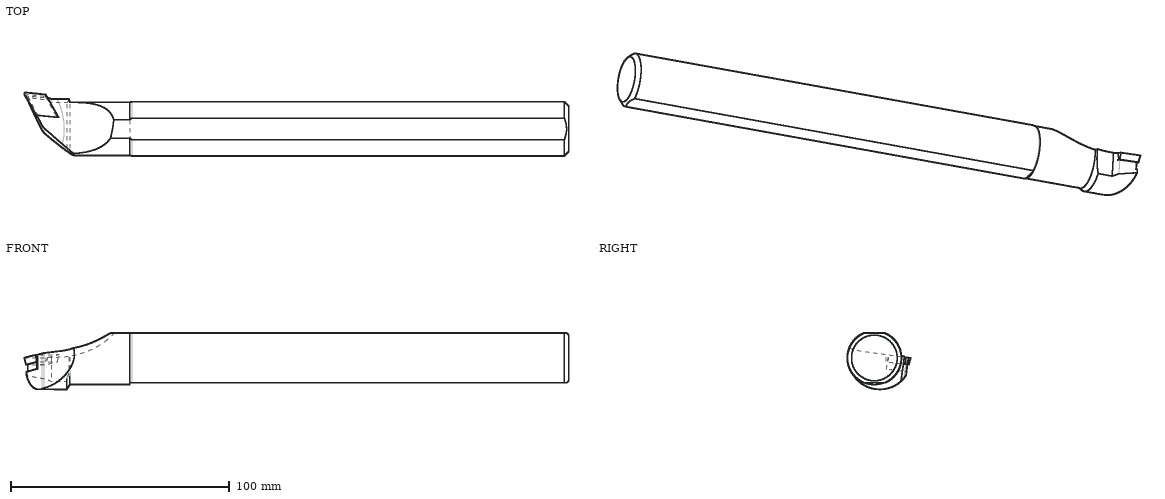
import cadquery as cq
import math

length = 249.5
nose_reach = 16.7

shank_radius = 12.5
flat_height = 11.5
end_chamfer = 2.0
shank_start = 48.5
lead_in_length = 0.7

neck_radius = 12.2
neck_start = 21.0

head_radius = 14.5
head_offset = 2.5
head_end = 19.5

lean_angle = 8.0

lead_face_tip = (1.0, 15.7)
lead_face_end = (8.0, 1.7)
relief_face_start = (9.0, 0.2)
relief_face_slope = 0.88
seat_side_end = (9.7, 14.7)
head_side_start = (12.5, 13.7)

scoop_start = 18.2
scoop_profile_radius = 32.0
scoop_plan_radius = 30.0
scoop_center_y = 0.0

nose_radius = 0.7
insert_length = 10.5
insert_width = 10.0
insert_thickness = 3.2
side_edge_angle = 6.0
lead_edge_angle = 61.0
insert_clearance = 7.0

seat_step_height = 6.5
seat_step_depth = 0.5

clear = 74.8


def lean(body):
    """Tilt a body, drawn with the head's top face at z = 0, into place."""
    return body.rotate((0, nose_reach, 0), (1, nose_reach, 0), -lean_angle)


def cylinder_along_x(radius, start, end, center_y=0.0):
    return cq.Workplane("YZ", origin=(start, center_y, 0)).circle(radius).extrude(end - start)


def make_shank():
    shank = (
        cq.Workplane("XY")
        .polyline([
            (shank_start, 0),
            (shank_start, neck_radius),
            (shank_start + lead_in_length, shank_radius),
            (length - end_chamfer, shank_radius),
            (length, shank_radius - end_chamfer),
            (length, 0),
        ])
        .close()
        .revolve(360, (0, 0, 0), (1, 0, 0))
    )
    between_flats = cq.Workplane("XY").box(2 * length, clear, 2 * flat_height)
    return shank.intersect(between_flats)


def make_neck():
    neck = cylinder_along_x(neck_radius, neck_start, shank_start)
    below_flat = cq.Workplane("XY", origin=(0, 0, flat_height)).rect(2 * length, clear).extrude(-clear)
    return neck.intersect(below_flat)


def make_head():
    head = cylinder_along_x(head_radius, 0, head_end, head_offset)
    shoulder = (
        cq.Workplane("YZ", origin=(head_end, head_offset, 0))
        .circle(head_radius)
        .workplane(offset=neck_start - head_end)
        .center(-head_offset, 0)
        .circle(neck_radius)
        .loft(ruled=True)
    )
    return head.union(shoulder)


def make_head_outline():
    """Prism whose walls are the lead face, the relief face and the side of the head."""
    start_x, start_y = relief_face_start
    relief_face_end = (start_x + clear, start_y - clear * relief_face_slope)
    prism = (
        cq.Workplane("XY", origin=(0, 0, -clear))
        .polyline([
            lead_face_tip,
            lead_face_end,
            relief_face_start,
            relief_face_end,
            (relief_face_end[0], head_side_start[1]),
            head_side_start,
            seat_side_end,
        ])
        .close()
        .extrude(2 * clear)
    )
    return lean(prism)


def make_scoop():
    """Cutter with a flat floor and a flaring rim tangent to it, turned about the head's top face normal."""
    axis_x = scoop_start - scoop_plan_radius
    arc_point = math.sqrt(0.5) * scoop_profile_radius
    rim_radius = scoop_plan_radius + scoop_profile_radius
    cutter = (
        cq.Workplane("XZ", origin=(axis_x, scoop_center_y, 0))
        .lineTo(scoop_plan_radius, 0)
        .threePointArc(
            (scoop_plan_radius + arc_point, scoop_profile_radius - arc_point),
            (rim_radius, scoop_profile_radius),
        )
        .lineTo(0, scoop_profile_radius)
        .close()
        .revolve(360, (0, 0, 0), (0, 1, 0))
    )
    return lean(cutter)


def direction(angle):
    return cq.Vector(math.cos(math.radians(angle)), math.sin(math.radians(angle)), 0)


side_direction = direction(-side_edge_angle)
lead_direction = direction(-lead_edge_angle)
lead_length = insert_width / math.sin(math.radians(lead_edge_angle - side_edge_angle))


def insert_tip():
    """Sharp corner of the insert, placed so that the rounded nose reaches x = 0 and y = nose_reach."""
    nose_center = cq.Vector(nose_radius, nose_reach - nose_radius, 0)
    half_angle = math.radians(lead_edge_angle - side_edge_angle) / 2
    inward = direction(-(lead_edge_angle + side_edge_angle) / 2)
    return nose_center - inward * (nose_radius / math.sin(half_angle))


def make_insert():
    tip = insert_tip()
    side_end = tip + side_direction * insert_length
    lead_end = tip + lead_direction * lead_length
    far_corner = side_end + lead_direction * lead_length
    insert = (
        cq.Workplane("XY")
        .polyline([(p.x, p.y) for p in (tip, lead_end, far_corner, side_end)])
        .close()
        .extrude(-insert_thickness, taper=insert_clearance)
        .edges(cq.selectors.NearestToPointSelector((tip.x, tip.y, -insert_thickness / 2)))
        .fillet(nose_radius)
    )
    return lean(insert)


def make_seat_step():
    """Cutter that sets the lead face back beside and under the insert, as far as its inner end."""
    tip_x, tip_y = lead_face_tip
    end_y = (insert_tip() + lead_direction * lead_length).y
    run = (lead_face_end[0] - tip_x) / (tip_y - lead_face_end[1])
    end_x = tip_x + run * (tip_y - end_y)
    overshoot = nose_reach - tip_y
    top_x = tip_x - run * overshoot
    cutter = (
        cq.Workplane("XY")
        .polyline([
            (top_x + seat_step_depth, nose_reach),
            (end_x + seat_step_depth, end_y),
            (end_x - seat_step_depth, end_y),
            (top_x - seat_step_depth, nose_reach),
        ])
        .close()
        .extrude(-seat_step_height)
    )
    return lean(cutter)


insert = make_insert()
front = make_head().union(make_neck()).intersect(make_head_outline())
holder = front.union(make_shank()).cut(make_scoop()).cut(make_seat_step()).cut(insert)

result = cq.Compound.makeCompound([holder.solids().val(), insert.solids().val()])